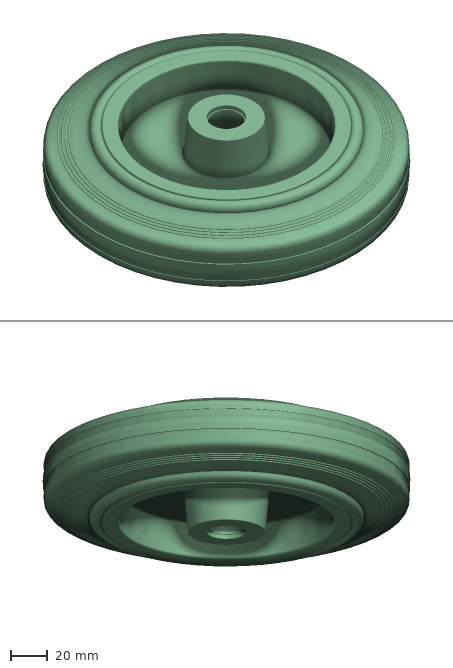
import cadquery as cq
import math


tread_radius = 100.0
crown_slope = 0.05
groove_radius = 99.1
groove_inner_z = 3.4
groove_outer_z = 8.1
shoulder_z = 10.0
shoulder_round = 4.0

side_angle = math.radians(14)

rim_radius = 67.95
rim_half_width = 24.0
rim_edge_round = 1.0
web_half_thickness = 4.5
ring_inner_radius_at_web = 57.45
ring_inner_radius_at_face = 58.85
ring_round = 1.3
hub_half_length = 29.0
hub_radius_at_end = 21.0
hub_radius_at_web = 23.5
hub_end_round = 0.5
hub_foot_round = 1.5
bore_radius = 10.0

bead_round = 4.0
bead_ring_radius = 70.6
bead_centre_z = rim_half_width - bead_round

rib_count = 4
rib_first_radius = 85.5
rib_pitch = 2.0
rib_round = 0.5

washer_radius = 17.5
washer_bore_radius = 10.7
washer_thickness = 2.5


def crown_radius(z):
    return tread_radius - crown_slope * z


def point_on_circle(centre, radius, angle):
    return (centre[0] + radius * math.cos(angle), centre[1] + radius * math.sin(angle))


def revolve_half_profile(profile):
    """Turn a closed profile drawn as (radius, z) into a solid about the Z axis."""
    return profile.revolve(360, (0, 0, 0), (0, 1, 0))


shoulder_radius = crown_radius(shoulder_z)
shoulder_centre = (shoulder_radius - shoulder_round, shoulder_z)
shoulder_end_angle = math.pi / 2 - side_angle
shoulder_middle = point_on_circle(shoulder_centre, shoulder_round, shoulder_end_angle / 2)
shoulder_end = point_on_circle(shoulder_centre, shoulder_round, shoulder_end_angle)


def side_wall_z(radius):
    return shoulder_end[1] + (shoulder_end[0] - radius) * math.tan(side_angle)


def make_tyre():
    profile = (
        cq.Workplane("XZ")
        .moveTo(rim_radius, 0)
        .lineTo(tread_radius, 0)
        .lineTo(crown_radius(groove_inner_z), groove_inner_z)
        .lineTo(groove_radius, groove_inner_z)
        .lineTo(groove_radius, groove_outer_z)
        .lineTo(crown_radius(groove_outer_z), groove_outer_z)
        .lineTo(shoulder_radius, shoulder_z)
        .threePointArc(shoulder_middle, shoulder_end)
    )

    for index in reversed(range(rib_count)):
        rib_radius = rib_first_radius + index * rib_pitch
        rib_centre = (rib_radius, side_wall_z(rib_radius))
        rib_start, rib_top, rib_end = [
            point_on_circle(rib_centre, rib_round, quarter * math.pi / 2 - side_angle)
            for quarter in range(3)
        ]
        profile = profile.lineTo(*rib_start).threePointArc(rib_top, rib_end)

    bead_centre = (bead_ring_radius, bead_centre_z)
    height_over_wall = (bead_centre_z - side_wall_z(bead_ring_radius)) * math.cos(side_angle)
    bead_start_angle = math.acos(height_over_wall / bead_round) - math.pi / 2 - side_angle
    bead_end_angle = math.acos((rim_radius - bead_ring_radius) / bead_round)
    bead_start, bead_middle, bead_end = [
        point_on_circle(bead_centre, bead_round, angle)
        for angle in (bead_start_angle, (bead_start_angle + bead_end_angle) / 2, bead_end_angle)
    ]
    profile = profile.lineTo(*bead_start).threePointArc(bead_middle, bead_end).close()

    upper_half = revolve_half_profile(profile)
    return upper_half.union(upper_half.mirror("XY"))


def is_circle_at(edge, radius, z):
    """True for a circular edge of the given radius lying at the given height."""
    tolerance = 1e-3
    return abs(edge.radius() - radius) < tolerance and abs(edge.arcCenter().z - z) < tolerance


def make_rim():
    upper_half = revolve_half_profile(
        cq.Workplane("XZ")
        .moveTo(bore_radius, 0)
        .lineTo(rim_radius, 0)
        .lineTo(rim_radius, rim_half_width)
        .lineTo(ring_inner_radius_at_face, rim_half_width)
        .lineTo(ring_inner_radius_at_web, web_half_thickness)
        .lineTo(hub_radius_at_web, web_half_thickness)
        .lineTo(hub_radius_at_end, hub_half_length)
        .lineTo(washer_radius, hub_half_length)
        .lineTo(washer_radius, hub_half_length - washer_thickness)
        .lineTo(bore_radius, hub_half_length - washer_thickness)
        .close()
    )
    rounded_edges = [
        (rim_radius, rim_half_width, rim_edge_round),
        (ring_inner_radius_at_face, rim_half_width, ring_round),
        (ring_inner_radius_at_web, web_half_thickness, ring_round),
        (hub_radius_at_web, web_half_thickness, hub_foot_round),
        (hub_radius_at_end, hub_half_length, hub_end_round),
    ]
    for radius, z, round_radius in rounded_edges:
        edge = upper_half.edges("%CIRCLE").filter(lambda circle: is_circle_at(circle, radius, z))
        upper_half = edge.fillet(round_radius)
    return upper_half.union(upper_half.mirror("XY"))


def make_washer(bottom_z):
    disc = cq.Workplane("XY").workplane(offset=bottom_z).circle(washer_radius)
    return disc.circle(washer_bore_radius).extrude(washer_thickness)


tyre = make_tyre()
rim = make_rim()
washer_bottoms = (hub_half_length - washer_thickness, -hub_half_length)
washers = [make_washer(bottom_z) for bottom_z in washer_bottoms]

result = cq.Compound.makeCompound([tyre.val(), rim.val(), *[washer.val() for washer in washers]])